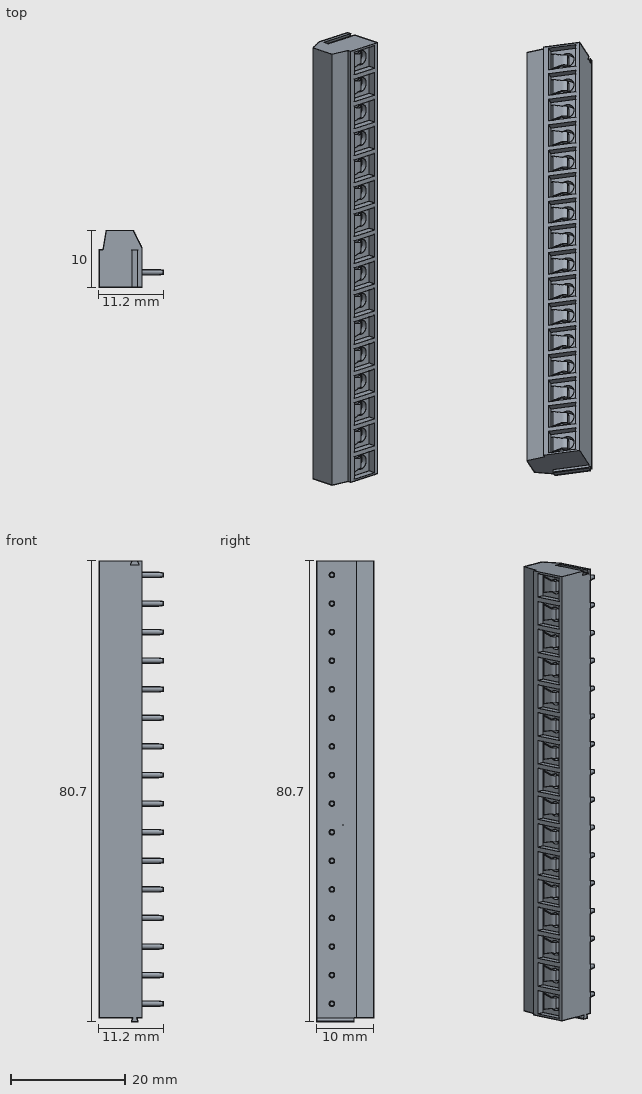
import cadquery as cq
import math

total_height = 80.7
cell_count = 16
pitch = 5.0

body_width = 7.5
body_depth = 10.0
ledge_width = 0.65
ledge_y = 6.6
top_left_x = 1.2
top_right_x = 6.0
shoulder_y = 6.9

key_height = 0.7
key_length = 6.5
key_center_x = 6.2
key_root_width = 0.7
key_tip_width = 1.1
groove_mouth_width = 1.0
groove_floor_width = 1.45
tip_land = 0.2

window_bottom_y = 0.7
window_top_y = 5.65
window_height = 4.2
window_depth = 1.4

hole_y = 2.75
hole_radius = 1.3
hole_depth = 1.05

leaf_rise = 0.3
leaf_slope_length = 0.5
leaf_top_width = 3.1
leaf_width = 1.9
leaf_roll_y = 3.5
leaf_roll_length = 0.8
leaf_roll_radius = 1.05

pin_y = 2.7
pin_diameter = 1.0
pin_length = 3.7
pin_tip_length = 0.8
pin_tip_diameter = 0.7
pin_overlap = 0.8

body_height = total_height - key_height
first_cell_z = key_height + (body_height - (cell_count - 1) * pitch) / 2
cell_heights = [first_cell_z + i * pitch for i in range(cell_count)]


def make_housing():
    profile = [
        (0, 0),
        (body_width, 0),
        (body_width, shoulder_y),
        (top_right_x, body_depth),
        (top_left_x, body_depth),
        (ledge_width, ledge_y),
        (0, ledge_y),
    ]
    floor = cq.Workplane("XY", origin=(0, 0, key_height))
    return floor.polyline(profile).close().extrude(body_height)


def make_key(face_z, root_width, tip_width):
    """Dovetail bar hanging below face_z, with a short straight land at its tip, starting at Y = 0."""
    tip_z = face_z - key_height
    profile = [
        (key_center_x - root_width / 2, face_z),
        (key_center_x + root_width / 2, face_z),
        (key_center_x + tip_width / 2, tip_z + tip_land),
        (key_center_x + tip_width / 2, tip_z),
        (key_center_x - tip_width / 2, tip_z),
        (key_center_x - tip_width / 2, tip_z + tip_land),
    ]
    return cq.Workplane("XZ").polyline(profile).close().extrude(-key_length)


def make_leaf():
    """Contact leaf of one cell, centred on Z = 0: side section trimmed to a flared outline."""
    leaf_x = window_depth - leaf_rise
    hole_bottom_x = window_depth + hole_depth
    leaf_end_y = leaf_roll_y - leaf_roll_length
    roll_angle = math.asin(leaf_roll_length / leaf_roll_radius)

    def roll_point(angle):
        return (
            leaf_x + leaf_roll_radius * (1 - math.cos(angle)),
            leaf_roll_y - leaf_roll_radius * math.sin(angle),
        )

    section = (
        cq.Workplane("XY")
        .moveTo(window_depth, window_top_y)
        .lineTo(leaf_x, window_top_y - leaf_slope_length)
        .lineTo(leaf_x, leaf_roll_y)
        .threePointArc(roll_point(roll_angle / 2), roll_point(roll_angle))
        .lineTo(hole_bottom_x, leaf_end_y)
        .lineTo(hole_bottom_x, window_top_y)
        .close()
        .extrude(leaf_top_width / 2, both=True)
    )
    outline = (
        cq.Workplane("YZ")
        .polyline([
            (leaf_end_y, -leaf_width / 2),
            (leaf_roll_y, -leaf_width / 2),
            (window_top_y, -leaf_top_width / 2),
            (window_top_y, leaf_top_width / 2),
            (leaf_roll_y, leaf_width / 2),
            (leaf_end_y, leaf_width / 2),
        ])
        .close()
        .extrude(hole_bottom_x)
    )
    return section.intersect(outline)


def make_cell_recess():
    """Cutting body of one cell, centred on Z = 0."""
    window = (
        cq.Workplane("XY")
        .box(window_depth, window_top_y - window_bottom_y, window_height, centered=(False, False, True))
        .translate((0, window_bottom_y, 0))
    )
    hole = cq.Workplane("YZ").center(hole_y, 0).circle(hole_radius).extrude(window_depth + hole_depth)
    return window.union(hole).cut(make_leaf())


def make_pin(z):
    """Round pin along +X with a conical tip, rooted inside the housing."""
    cone_start_x = body_width + pin_length - pin_tip_length
    half_section = [
        (body_width - pin_overlap, 0),
        (body_width - pin_overlap, -pin_diameter / 2),
        (cone_start_x, -pin_diameter / 2),
        (cone_start_x + pin_tip_length, -pin_tip_diameter / 2),
        (cone_start_x + pin_tip_length, 0),
    ]
    pin = cq.Workplane("XY").polyline(half_section).close().revolve(360, (0, 0, 0), (1, 0, 0))
    return pin.translate((0, pin_y, z))


result = make_housing()
result = result.union(make_key(key_height, key_root_width, key_tip_width))
result = result.cut(make_key(total_height, groove_mouth_width, groove_floor_width))
cell_recess = make_cell_recess()
for cell_z in cell_heights:
    result = result.cut(cell_recess.translate((0, 0, cell_z)))
    result = result.union(make_pin(cell_z))